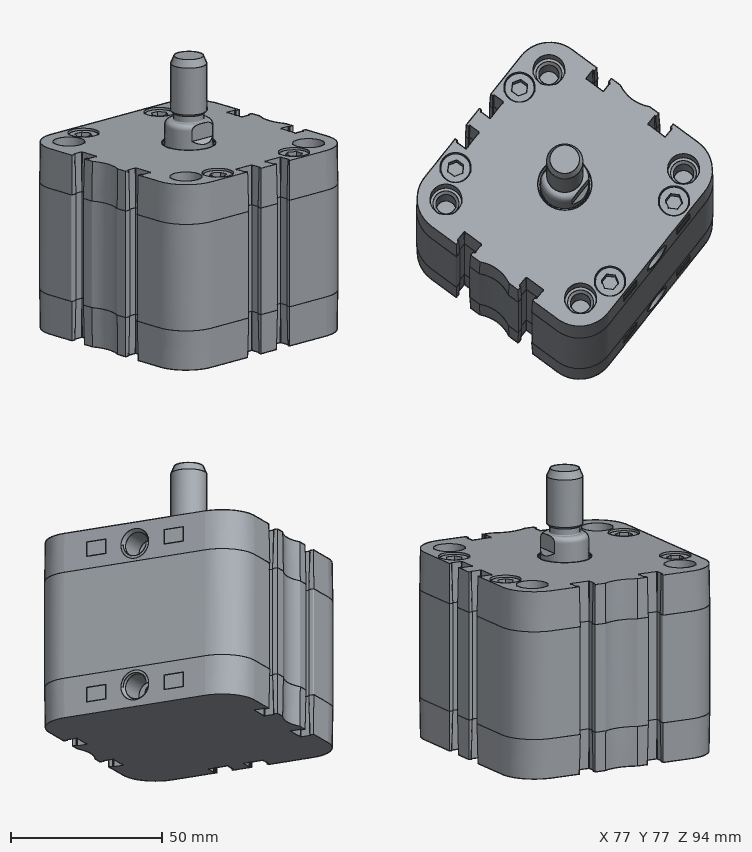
import cadquery as cq
import math


width = 77.0
half = width / 2
corner_radius = 12.2
cap_height = 13.6
barrel_height = 36.8
cap_draft = 1.0
barrel_top = cap_height + barrel_height
housing_height = barrel_top + cap_height

mouth_width = 5.5
channel_width = 6.8
side_slot_depth = 5.2
side_lip_depth = 1.9
side_slot_x = 12.9
end_slot_depth = 5.0
end_lip_depth = 1.3
end_slot_y = 6.6

groove_width = 12.0
groove_depth = 1.5

mouth_edge_radius = 0.4
groove_edge_radius = 0.75

mount_offset = 28.0
mount_counterbore_diameter = 10.5
mount_counterbore_depth = 4.9
mount_mouth_diameter = 8.6
mount_core_diameter = 6.7

screw_x = 32.15
screw_y = 17.4
screw_recess_diameter = 10.3
screw_recess_depth = 3.8
screw_head_diameter = 9.8
screw_head_drop = 0.7
hex_across_flats = 5.0
hex_depth = 2.6
hex_turn_left = 30

port_inset = 7.4
port_mouth_diameter = 10.3
port_diameter = 8.6
port_countersink_depth = 1.6
port_depth = 11.3
passage_diameter = 4.0
passage_depth = 5.6
passage_rise = 0.8

label_width = 7.05
label_height = 5.0
label_depth = 0.3
label_cutter_overrun = 0.9
label_y = 14.5
label_inset = 6.8

rod_diameter = 16.0
rod_shoulder_z = 72.0
rod_shoulder_radius = 1.8
neck_diameter = 10.0
neck_fillet = 0.3
thread_diameter = 12.0
thread_start_z = 75.2
tip_diameter = 9.8
tip_height = 2.6
rod_tip_z = 94.0
rod_flat_width = 13.0
rod_flat_bottom_z = 66.6

seal_recess_diameter = 17.7
seal_recess_mouth_diameter = 18.0
seal_recess_depth = 0.6
seal_gap_diameter = 16.5
seal_gap_depth = 1.9


def slot_cutter(depth, lip_depth):
    """Slot with its mouth on the XZ plane, opening towards +Y, running up Z."""
    mouth = cq.Workplane("XY").box(mouth_width, 2 * depth, housing_height, centered=(True, True, False))
    channel = (
        cq.Workplane("XY")
        .box(channel_width, depth - lip_depth, housing_height, centered=(True, False, False))
        .translate((0, -depth, 0))
    )
    return mouth.union(channel)


def outline_block(height):
    """Straight block with the housing's slotted outline."""
    block = (
        cq.Workplane("XY")
        .rect(width, width)
        .extrude(height)
        .edges("|Z")
        .fillet(corner_radius)
    )
    side_slot = slot_cutter(side_slot_depth, side_lip_depth).translate((0, half, 0))
    end_slot = slot_cutter(end_slot_depth, end_lip_depth).rotate((0, 0, 0), (0, 0, 1), -90)
    groove_radius = (groove_width**2 / 4 + groove_depth**2) / (2 * groove_depth)
    groove = (
        cq.Workplane("XY")
        .center(0, half - groove_depth + groove_radius)
        .circle(groove_radius)
        .extrude(height)
    )
    for x in (-side_slot_x, side_slot_x):
        for turn in (0, 180):
            block = block.cut(side_slot.translate((x, 0, 0)).rotate((0, 0, 0), (0, 0, 1), turn))
    for turn in (0, 180):
        block = block.cut(groove.rotate((0, 0, 0), (0, 0, 1), turn))
    for y in (-end_slot_y, end_slot_y):
        block = block.cut(end_slot.translate((half, y, 0)))
    return block


def drafted_cap(inner_z, direction):
    """Cap blank that narrows from its inner face at inner_z, upwards (1) or downwards (-1)."""
    outline = outline_block(cap_height).faces("<Z").wires().val().moved(cq.Location((0, 0, inner_z)))
    return (
        cq.Workplane("XY", origin=(0, 0, inner_z))
        .add(outline)
        .toPending()
        .extrude(direction * cap_height, taper=cap_draft)
    )


def face_x(distance_from_end):
    """X of the drafted -X cap face at a distance from the cap's outer end."""
    return -half + (cap_height - distance_from_end) * math.tan(math.radians(cap_draft))


def cut_port(cap, z):
    start_x = face_x(port_inset)
    mouth = cq.Solid.makeCone(
        port_mouth_diameter / 2,
        port_diameter / 2,
        port_countersink_depth,
        cq.Vector(start_x, 0, z),
        cq.Vector(1, 0, 0),
    )
    bore = cq.Workplane("YZ", origin=(-half, 0, z)).circle(port_diameter / 2).extrude(port_depth)
    return cap.cut(cq.Workplane(mouth)).cut(bore)


def cut_labels(cap, z):
    floor_x = face_x(label_inset) + label_depth
    labels = (
        cq.Workplane("YZ", origin=(floor_x, 0, z))
        .pushPoints([(-label_y, 0), (label_y, 0)])
        .rect(label_width, label_height)
        .extrude(-label_depth - label_cutter_overrun)
    )
    return cap.cut(labels)


def cut_mounting_holes(cap):
    points = [(x, y) for x in (-mount_offset, mount_offset) for y in (-mount_offset, mount_offset)]
    floor_z = housing_height - mount_counterbore_depth
    cone_depth = (mount_mouth_diameter - mount_core_diameter) / 2
    hole = (
        cq.Workplane("XZ")
        .moveTo(0, housing_height)
        .lineTo(mount_counterbore_diameter / 2, housing_height)
        .lineTo(mount_counterbore_diameter / 2, floor_z)
        .lineTo(mount_mouth_diameter / 2, floor_z)
        .lineTo(mount_core_diameter / 2, floor_z - cone_depth)
        .lineTo(mount_core_diameter / 2, barrel_top)
        .lineTo(0, barrel_top)
        .close()
        .revolve(360, (0, 0, 0), (0, 1, 0))
    )
    for x, y in points:
        cap = cap.cut(hole.translate((x, y, 0)))
    return cap


def shape_screw_heads(cap):
    recess_floor_z = housing_height - screw_recess_depth
    head_height = screw_recess_depth - screw_head_drop
    hex_corner_diameter = hex_across_flats / math.cos(math.pi / 6)
    recess = (
        cq.Workplane("XY", origin=(0, 0, recess_floor_z))
        .circle(screw_recess_diameter / 2)
        .extrude(screw_recess_depth)
    )
    head = (
        cq.Workplane("XY", origin=(0, 0, recess_floor_z))
        .circle(screw_head_diameter / 2)
        .extrude(head_height)
    )
    socket = (
        cq.Workplane("XY", origin=(0, 0, housing_height - screw_head_drop))
        .polygon(6, hex_corner_diameter)
        .extrude(-hex_depth)
    )
    ring = recess.cut(head)
    for x, turn in ((-screw_x, hex_turn_left), (screw_x, 0)):
        for y in (-screw_y, screw_y):
            cap = cap.cut(ring.translate((x, y, 0)))
            cap = cap.cut(socket.rotate((0, 0, 0), (0, 0, 1), turn).translate((x, y, 0)))
    return cap


def seal_recess_cutter():
    """Recess with a bevelled rim and a narrow gap around the rod below it."""
    recess_radius = seal_recess_diameter / 2
    mouth_radius = seal_recess_mouth_diameter / 2
    gap_radius = seal_gap_diameter / 2
    recess_floor_z = housing_height - seal_recess_depth
    gap_floor_z = housing_height - seal_gap_depth
    return (
        cq.Workplane("XZ")
        .moveTo(0, housing_height)
        .lineTo(mouth_radius, housing_height)
        .lineTo(recess_radius, housing_height - (mouth_radius - recess_radius))
        .lineTo(recess_radius, recess_floor_z)
        .lineTo(gap_radius, recess_floor_z)
        .lineTo(gap_radius, gap_floor_z)
        .lineTo(0, gap_floor_z)
        .close()
        .revolve(360, (0, 0, 0), (0, 1, 0))
    )


def make_barrel():
    barrel = outline_block(barrel_height)
    mouth_edge_x = side_slot_x + mouth_width / 2
    for edge_x, radius in ((mouth_edge_x, mouth_edge_radius), (groove_width / 2, groove_edge_radius)):
        for x in (-edge_x, edge_x):
            for y in (-half, half):
                edge = cq.selectors.NearestToPointSelector((x, y, barrel_height / 2))
                barrel = barrel.edges("|Z").edges(edge).fillet(radius)
    return barrel.translate((0, 0, cap_height))


def make_lower_cap():
    cap = drafted_cap(cap_height, -1)
    cap = cut_port(cap, port_inset)
    passage = (
        cq.Workplane("YZ", origin=(-half + port_depth, 0, port_inset + passage_rise))
        .circle(passage_diameter / 2)
        .extrude(passage_depth)
    )
    return cut_labels(cap.cut(passage), label_inset)


def make_upper_cap():
    cap = drafted_cap(barrel_top, 1)
    cap = cut_port(cap, housing_height - port_inset)
    cap = cut_labels(cap, housing_height - label_inset)
    cap = cut_mounting_holes(cap)
    cap = shape_screw_heads(cap)
    rod_hole = cq.Workplane("XY", origin=(0, 0, barrel_top)).circle(rod_diameter / 2).extrude(cap_height)
    return cap.cut(rod_hole).cut(seal_recess_cutter())


def make_rod():
    body_radius = rod_diameter / 2
    thread_radius = thread_diameter / 2
    neck_radius = neck_diameter / 2
    neck_top_z = thread_start_z - (thread_radius - neck_radius - neck_fillet)
    rod = (
        cq.Workplane("XZ")
        .moveTo(0, barrel_top)
        .lineTo(body_radius, barrel_top)
        .lineTo(body_radius, rod_shoulder_z - rod_shoulder_radius)
        .radiusArc((body_radius - rod_shoulder_radius, rod_shoulder_z), -rod_shoulder_radius)
        .lineTo(neck_radius + neck_fillet, rod_shoulder_z)
        .radiusArc((neck_radius, rod_shoulder_z + neck_fillet), neck_fillet)
        .lineTo(neck_radius, neck_top_z - neck_fillet)
        .radiusArc((neck_radius + neck_fillet, neck_top_z), neck_fillet)
        .lineTo(thread_radius, thread_start_z)
        .lineTo(thread_radius, rod_tip_z - tip_height)
        .lineTo(tip_diameter / 2, rod_tip_z)
        .lineTo(0, rod_tip_z)
        .close()
        .revolve(360, (0, 0, 0), (0, 1, 0))
    )
    flat_x = rod_flat_width / 2
    flat_height = rod_shoulder_z - rod_flat_bottom_z
    flat_cutter = (
        cq.Workplane("XZ")
        .moveTo(flat_x, rod_shoulder_z)
        .lineTo(flat_x, rod_flat_bottom_z)
        .lineTo(flat_x + flat_height, rod_flat_bottom_z - flat_height)
        .lineTo(flat_x + flat_height, rod_shoulder_z)
        .close()
        .extrude(body_radius, both=True)
    )
    return rod.cut(flat_cutter).cut(flat_cutter.mirror("YZ"))


barrel = make_barrel()
lower_cap = make_lower_cap()
upper_cap = make_upper_cap()
rod = make_rod()

result = cq.Compound.makeCompound([barrel.val(), lower_cap.val(), upper_cap.val(), rod.val()])